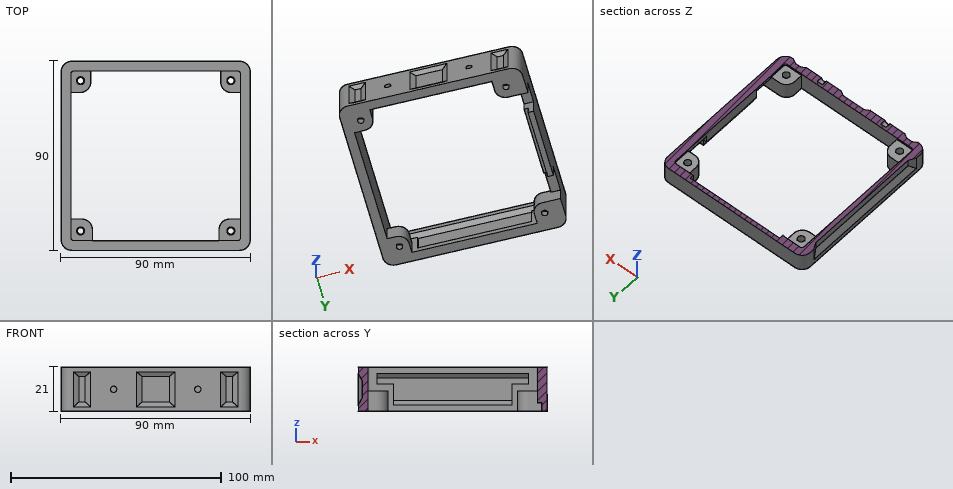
import cadquery as cq

SIDE = 90.0
HALF = SIDE / 2
HEIGHT = 21.0
MID_HEIGHT = HEIGHT / 2
WALL = 4.75
INNER_HALF = HALF - WALL
OUTER_CORNER_RADIUS = 5.2
INNER_CORNER_RADIUS = 1.2

BOSS_HEIGHT = 9.7
BOSS_EDGE = 30.0
REAR_BOSS_EDGE_X = 30.8
BOSS_RADIUS = 5.2
HOLE_OFFSET = 35.7
HOLE_DIAMETER = 3.0
HOLE_TOP_DIAMETER = 3.8
HOLE_TOP_DEPTH = 5.0

FRONT_POCKET_DEPTH = 1.5
FRONT_POCKET_HEIGHT = 16.6
FRONT_POCKET_TAPER_Z = 2.25
FRONT_POCKET_TAPER_X = 2.6
FRONT_CENTRE_WIDTH = 18.2
FRONT_SIDE_WIDTH = 8.2
FRONT_SIDE_OFFSET = 35.0
FRONT_HOLE_DIAMETER = 3.0
FRONT_HOLE_OFFSET = 20.0
FRONT_HOLE_DEPTH = 3.0

LEFT_POCKET_DEPTH = 2.0
LEFT_POCKET_LENGTH = 74.2
LEFT_POCKET_HEIGHT = 15.2
LEFT_POCKET_TAPER = 3.7

REAR_POCKET_DEPTH = 2.2
REAR_POCKET_BOTTOM = 3.0
REAR_POCKET_STEP = 13.1
REAR_POCKET_TOP = HEIGHT - REAR_POCKET_BOTTOM
REAR_LOWER_HALF_LENGTH = 28.1
REAR_UPPER_HALF_LENGTH = 36.0

REAR_OPENING_Y = (16.8, BOSS_EDGE)
REAR_OPENING_HEIGHT = 8.15
FRONT_OPENING_Y = (-BOSS_EDGE, -19.5)
FRONT_OPENING_HEIGHT = 9.0
REBATE_DEPTH = 2.0
REBATE_HEIGHT = 4.1


def box_between(x_range, y_range, z_range):
    """Axis-aligned box spanning the given (low, high) ranges."""
    lows = [axis[0] for axis in (x_range, y_range, z_range)]
    sizes = [axis[1] - axis[0] for axis in (x_range, y_range, z_range)]
    return cq.Workplane("XY").box(*sizes, centered=False).translate(tuple(lows))


def rounded_square(half_side, radius):
    """Full-height square block with rounded vertical edges."""
    block = box_between((-half_side, half_side), (-half_side, half_side), (0, HEIGHT))
    return block.edges("|Z").fillet(radius)


def corner_boss(x_sign, y_sign):
    """Boss filling one inner corner, rounded on its free vertical edge."""
    edge_x = REAR_BOSS_EDGE_X if y_sign > 0 else BOSS_EDGE
    embed = HALF - WALL / 2
    x_range = sorted((x_sign * edge_x, x_sign * embed))
    y_range = sorted((y_sign * BOSS_EDGE, y_sign * embed))
    boss = box_between(x_range, y_range, (0, BOSS_HEIGHT))
    free_x_side = "<X" if x_sign > 0 else ">X"
    free_y_side = "<Y" if y_sign > 0 else ">Y"
    return boss.edges("|Z").edges(f"{free_x_side} and {free_y_side}").fillet(BOSS_RADIUS)


def boss_hole(x_sign, y_sign):
    """Screw hole through a boss with a wider upper part."""
    x = x_sign * HOLE_OFFSET
    y = y_sign * HOLE_OFFSET
    hole = cq.Workplane("XY").center(x, y).circle(HOLE_DIAMETER / 2).extrude(BOSS_HEIGHT)
    top = cq.Workplane("XY", origin=(x, y, BOSS_HEIGHT)).circle(HOLE_TOP_DIAMETER / 2)
    return hole.union(top.extrude(-HOLE_TOP_DEPTH))


def tapered_pocket(face, length, height, taper_length, taper_height, depth):
    """Cutter that narrows from a rectangle on the face to a smaller floor."""
    floor_length = length - 2 * taper_length
    floor_height = height - 2 * taper_height
    return (
        cq.Workplane(face)
        .rect(length, height)
        .workplane(offset=-depth)
        .rect(floor_length, floor_height)
        .loft(ruled=True)
    )


def front_face(x):
    """Outward plane on the front wall at mid height."""
    return cq.Plane(origin=(x, -HALF, MID_HEIGHT), xDir=(1, 0, 0), normal=(0, -1, 0))


def front_wall_cutters():
    """Three tapered pockets and two blind holes in the -Y wall."""
    cutters = []
    pockets = (
        (-FRONT_SIDE_OFFSET, FRONT_SIDE_WIDTH),
        (0, FRONT_CENTRE_WIDTH),
        (FRONT_SIDE_OFFSET, FRONT_SIDE_WIDTH),
    )
    for x, width in pockets:
        face = front_face(x)
        cutters.append(
            tapered_pocket(
                face,
                width,
                FRONT_POCKET_HEIGHT,
                FRONT_POCKET_TAPER_X,
                FRONT_POCKET_TAPER_Z,
                FRONT_POCKET_DEPTH,
            )
        )
    for x in (-FRONT_HOLE_OFFSET, FRONT_HOLE_OFFSET):
        face = front_face(x)
        cutters.append(cq.Workplane(face).circle(FRONT_HOLE_DIAMETER / 2).extrude(-FRONT_HOLE_DEPTH))
    return cutters


def left_wall_cutters():
    """Long tapered pocket in the -X wall."""
    face = cq.Plane(origin=(-HALF, 0, MID_HEIGHT), xDir=(0, -1, 0), normal=(-1, 0, 0))
    return [
        tapered_pocket(
            face,
            LEFT_POCKET_LENGTH,
            LEFT_POCKET_HEIGHT,
            LEFT_POCKET_TAPER,
            LEFT_POCKET_TAPER,
            LEFT_POCKET_DEPTH,
        )
    ]


def rear_wall_cutters():
    """T-shaped inner pocket: sloped channel limited to a T outline."""
    floor_y = INNER_HALF + REAR_POCKET_DEPTH
    section = [
        (INNER_HALF, REAR_POCKET_BOTTOM),
        (floor_y, REAR_POCKET_BOTTOM + REAR_POCKET_DEPTH),
        (floor_y, REAR_POCKET_TOP - REAR_POCKET_DEPTH),
        (INNER_HALF, REAR_POCKET_TOP),
    ]
    long_pocket = (
        cq.Workplane("YZ")
        .polyline(section)
        .close()
        .extrude(REAR_UPPER_HALF_LENGTH, both=True)
    )
    lower_length = (-REAR_LOWER_HALF_LENGTH, REAR_LOWER_HALF_LENGTH)
    upper_length = (-REAR_UPPER_HALF_LENGTH, REAR_UPPER_HALF_LENGTH)
    depth = (INNER_HALF, floor_y)
    t_shape = box_between(upper_length, depth, (REAR_POCKET_STEP, REAR_POCKET_TOP)).union(
        box_between(lower_length, depth, (REAR_POCKET_BOTTOM, REAR_POCKET_STEP))
    )
    return [long_pocket.intersect(t_shape)]


def right_wall_cutters():
    """Two open-bottomed openings and the rebate between them in the +X wall."""
    through_wall = (INNER_HALF, HALF)
    rebate_x = (INNER_HALF, INNER_HALF + REBATE_DEPTH)
    rebate_y = (FRONT_OPENING_Y[1], REAR_OPENING_Y[0])
    return [
        box_between(through_wall, REAR_OPENING_Y, (0, REAR_OPENING_HEIGHT)),
        box_between(through_wall, FRONT_OPENING_Y, (0, FRONT_OPENING_HEIGHT)),
        box_between(rebate_x, rebate_y, (0, REBATE_HEIGHT)),
    ]


frame = rounded_square(HALF, OUTER_CORNER_RADIUS)
frame = frame.cut(rounded_square(INNER_HALF, INNER_CORNER_RADIUS))

corners = [(x_sign, y_sign) for x_sign in (-1, 1) for y_sign in (-1, 1)]
for corner in corners:
    frame = frame.union(corner_boss(*corner))
for corner in corners:
    frame = frame.cut(boss_hole(*corner))

wall_cutters = front_wall_cutters() + left_wall_cutters() + rear_wall_cutters() + right_wall_cutters()
for cutter in wall_cutters:
    frame = frame.cut(cutter)

result = frame